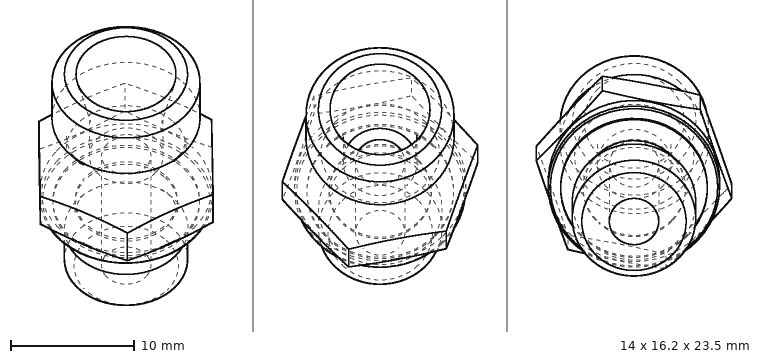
import cadquery as cq
import math

total_height = 23.5
hex_across_flats = 14.0
hex_bottom = 9.5
hex_top = 13.5
hex_corner_radius = hex_across_flats / math.sqrt(3)
hex_chamfer_radius = 13.9 / 2
hex_chamfer_angle = 15.0

upper_radius = 12.0 / 2
upper_chamfer = 1.0
upper_shoulder = 18.12
upper_neck_radius = 9.7 / 2

stud_radius = 10.0 / 2
stud_chamfer = 0.78
stud_shoulder = 4.58
stud_neck_radius = 8.3 / 2

neck_taper_angle = 30.0
neck_blend = 1.0

flange_radius = 13.9 / 2
flange_bottom = 8.01
flange_chamfer = 0.16
ring_radius = 11.9 / 2
ring_bottom = 7.73

mouth_radius = 8.1 / 2
wide_bore_radius = 6.0 / 2
narrow_bore_radius = 4 / 2
mouth_half_angle = 12.0
wide_bore_floor = hex_top


def revolve_profile(points):
    """Turn a closed (radius, height) outline about the Z axis."""
    return cq.Workplane("XZ").polyline(points).close().revolve(360, (0, 0, 0), (0, 1, 0))


def neck_corner(shoulder, outer_radius, neck_radius, direction):
    """Height at which the taper from a shoulder meets the neck."""
    taper_length = (outer_radius - neck_radius) / math.tan(math.radians(neck_taper_angle))
    return shoulder + direction * taper_length


def make_upper_end():
    corner = neck_corner(upper_shoulder, upper_radius, upper_neck_radius, -1)
    blend_setback = neck_blend * math.tan(math.radians(neck_taper_angle / 2))
    taper_start = (
        upper_neck_radius + blend_setback * math.sin(math.radians(neck_taper_angle)),
        corner + blend_setback * math.cos(math.radians(neck_taper_angle)),
    )
    blend_inset = neck_blend * (1 - math.sqrt(0.5))
    return (
        cq.Workplane("XZ")
        .moveTo(0, hex_bottom)
        .lineTo(upper_neck_radius + neck_blend, hex_bottom)
        .lineTo(upper_neck_radius + neck_blend, hex_top)
        .threePointArc(
            (upper_neck_radius + blend_inset, hex_top + blend_inset),
            (upper_neck_radius, hex_top + neck_blend),
        )
        .lineTo(upper_neck_radius, corner - blend_setback)
        .tangentArcPoint(taper_start, relative=False)
        .lineTo(upper_radius, upper_shoulder)
        .lineTo(upper_radius, total_height - upper_chamfer)
        .lineTo(upper_radius - upper_chamfer, total_height)
        .lineTo(0, total_height)
        .close()
        .revolve(360, (0, 0, 0), (0, 1, 0))
    )


def make_stud_end():
    corner = neck_corner(stud_shoulder, stud_radius, stud_neck_radius, 1)
    blend_setback = neck_blend * math.tan(math.radians(neck_taper_angle / 2))
    taper_end = (
        stud_neck_radius + blend_setback * math.sin(math.radians(neck_taper_angle)),
        corner - blend_setback * math.cos(math.radians(neck_taper_angle)),
    )
    return (
        cq.Workplane("XZ")
        .moveTo(0, hex_bottom)
        .lineTo(flange_radius, hex_bottom)
        .lineTo(flange_radius, flange_bottom + flange_chamfer)
        .lineTo(flange_radius - flange_chamfer, flange_bottom)
        .lineTo(stud_neck_radius, flange_bottom)
        .lineTo(stud_neck_radius, corner + blend_setback)
        .tangentArcPoint(taper_end, relative=False)
        .lineTo(stud_radius, stud_shoulder)
        .lineTo(stud_radius, stud_chamfer)
        .lineTo(stud_radius - stud_chamfer, 0)
        .lineTo(0, 0)
        .close()
        .revolve(360, (0, 0, 0), (0, 1, 0))
    )


def make_hexagon():
    """Hexagon with flats facing +X and -X, its corners chamfered at both ends."""
    prism = (
        cq.Workplane("XY")
        .workplane(offset=hex_bottom)
        .polygon(6, 2 * hex_corner_radius)
        .extrude(hex_top - hex_bottom)
        .rotate((0, 0, 0), (0, 0, 1), 30)
    )
    drop = (hex_corner_radius - hex_chamfer_radius) * math.tan(math.radians(hex_chamfer_angle))
    envelope = revolve_profile([
        (0, hex_bottom),
        (hex_chamfer_radius, hex_bottom),
        (hex_corner_radius, hex_bottom + drop),
        (hex_corner_radius, hex_top - drop),
        (hex_chamfer_radius, hex_top),
        (0, hex_top),
    ])
    return prism.intersect(envelope)


def make_bore():
    mouth_depth = (mouth_radius - wide_bore_radius) / math.tan(math.radians(mouth_half_angle))
    return revolve_profile([
        (0, 0),
        (narrow_bore_radius, 0),
        (narrow_bore_radius, wide_bore_floor),
        (wide_bore_radius, wide_bore_floor),
        (wide_bore_radius, total_height - mouth_depth),
        (mouth_radius, total_height),
        (0, total_height),
    ])


def make_fitting():
    return make_hexagon().union(make_upper_end()).union(make_stud_end()).cut(make_bore())


def make_sealing_ring():
    """Flat ring round the stud neck, resting against the flange."""
    return (
        cq.Workplane("XY")
        .workplane(offset=ring_bottom)
        .circle(ring_radius)
        .circle(stud_neck_radius)
        .extrude(flange_bottom - ring_bottom)
    )


fitting = make_fitting()
sealing_ring = make_sealing_ring()

result = cq.Compound.makeCompound([fitting.val(), sealing_ring.val()])